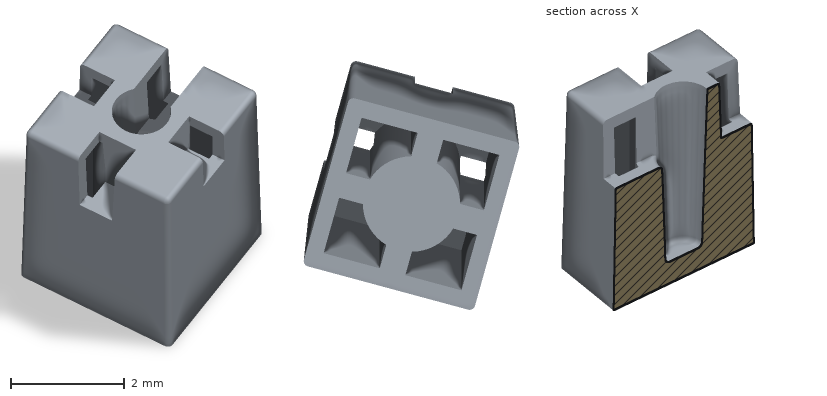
import cadquery as cq
import math

HEIGHT = 4.0
BASE_SIDE = 3.14
BODY_DRAFT = 1.0
EDGE_RADIUS = 0.1

CAVITY_SIDE = 2.53
ROOF_THICKNESS = 0.25
POST_RADIUS = 0.86
X_RIB_WIDTH = 0.47
Y_RIB_WIDTH = 0.46

HOLE_RADIUS = 0.525
HOLE_DRAFT = 2.0
HOLE_DEPTH = 3.5
HOLE_FLOOR_RADIUS = 0.1
HOLE_LIP_RADIUS = 0.1

X_SLOT_WIDTH = 0.70
X_SLOT_DEPTH = 0.755
X_SLOT_END = 0.775
X_SLOT_END_DRAFT = 3.5

Y_SLOT_WIDTH = 0.765
Y_SLOT_DEPTH = 1.26
Y_SLOT_END = 0.795
Y_SLOT_DRAFT = 2.0

CUT_REACH = BASE_SIDE


def draft_offset(length, degrees):
    """Sideways shift of a drafted wall over the given height."""
    return length * math.tan(math.radians(degrees))


def half_turn(shape):
    """The shape turned to the opposite side of the body."""
    return shape.rotate((0, 0, 0), (0, 0, 1), 180)


def make_body():
    body = cq.Workplane("XY").rect(BASE_SIDE, BASE_SIDE).extrude(HEIGHT, taper=BODY_DRAFT)
    corner_edges = body.edges("not(#Z)")
    body = corner_edges.fillet(EDGE_RADIUS)
    return body.faces(">Z").edges().fillet(EDGE_RADIUS)


def make_cavity():
    """Space between the outer walls, the post and the ribs."""
    depth = HEIGHT - ROOF_THICKNESS
    base = cq.Workplane("XY")
    cavity = base.rect(CAVITY_SIDE, CAVITY_SIDE).extrude(depth)
    post = base.circle(POST_RADIUS).extrude(depth)
    x_rib = base.rect(CAVITY_SIDE, X_RIB_WIDTH).extrude(depth)
    y_rib = base.rect(Y_RIB_WIDTH, CAVITY_SIDE).extrude(depth)
    return cavity.cut(post).cut(x_rib).cut(y_rib)


def make_x_slot():
    """Cutter for the +X slot."""
    floor = HEIGHT - X_SLOT_DEPTH
    end_at_floor = X_SLOT_END + draft_offset(X_SLOT_DEPTH, X_SLOT_END_DRAFT)
    profile = [
        (X_SLOT_END, HEIGHT),
        (end_at_floor, floor),
        (CUT_REACH, floor),
        (CUT_REACH, HEIGHT),
    ]
    return cq.Workplane("XZ").polyline(profile).close().extrude(X_SLOT_WIDTH / 2, both=True)


def make_y_slot(end):
    """Cutter for the +Y slot, with its end wall at the given Y on the top face."""
    length = CUT_REACH - end
    slot = cq.Workplane("XY", origin=(0, end + length / 2, HEIGHT)).rect(Y_SLOT_WIDTH, length)
    return slot.extrude(-Y_SLOT_DEPTH, taper=Y_SLOT_DRAFT)


def make_hole():
    """Cutter for the drafted blind hole with a rounded floor."""
    floor_radius = HOLE_RADIUS - draft_offset(HOLE_DEPTH, HOLE_DRAFT)
    floor = HEIGHT - HOLE_DEPTH
    profile = [(0, floor), (floor_radius, floor), (HOLE_RADIUS, HEIGHT), (0, HEIGHT)]
    hole = cq.Workplane("XZ").polyline(profile).close().revolve(360, (0, 0), (0, 1))
    return hole.faces("<Z").edges().fillet(HOLE_FLOOR_RADIUS)


def make_lip():
    """Cutter that rounds the hole edge on the +Y slot floor."""
    floor = HEIGHT - Y_SLOT_DEPTH
    edge_radius = HOLE_RADIUS - draft_offset(Y_SLOT_DEPTH, HOLE_DRAFT)
    arc_sweep = math.radians(90 - HOLE_DRAFT)
    setback = HOLE_LIP_RADIUS * math.tan(arc_sweep / 2)
    center_x = edge_radius + setback
    center_z = floor - HOLE_LIP_RADIUS

    def lip_point(angle):
        return (
            center_x + HOLE_LIP_RADIUS * math.cos(angle),
            center_z + HOLE_LIP_RADIUS * math.sin(angle),
        )

    wall_point = lip_point(math.pi / 2 + arc_sweep)
    profile = (
        cq.Workplane("XZ")
        .moveTo(0, floor)
        .lineTo(center_x, floor)
        .threePointArc(lip_point(math.pi / 2 + arc_sweep / 2), wall_point)
        .lineTo(0, wall_point[1])
        .close()
    )
    lip = profile.revolve(360, (0, 0), (0, 1))
    floor_width = Y_SLOT_WIDTH - 2 * draft_offset(Y_SLOT_DEPTH, Y_SLOT_DRAFT)
    slot_floor = cq.Workplane("XY", origin=(0, CUT_REACH / 2, floor)).rect(floor_width, CUT_REACH)
    return lip.intersect(slot_floor.extrude(-HOLE_LIP_RADIUS))


result = make_body().cut(make_cavity())
result = result.cut(make_x_slot()).cut(half_turn(make_x_slot()))
result = result.cut(half_turn(make_y_slot(Y_SLOT_END)))
result = result.cut(make_y_slot(0))
result = result.cut(make_hole()).cut(make_lip())